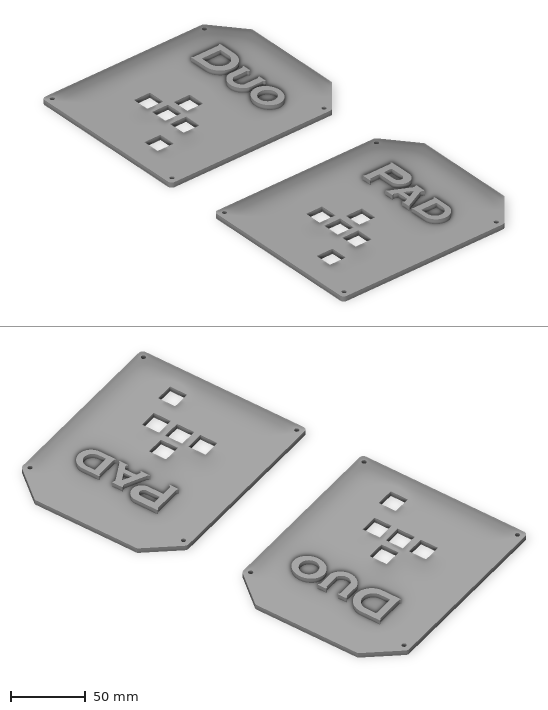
import cadquery as cq

overall_width = 315.0
plate_width = 135.0
plate_length = 161.5
plate_thickness = 4.0
plate_pitch = overall_width - plate_width

shoulder_width = 25.8
shoulder_length = 21.5
corner_radius = 3.0

screw_diameter = 3.5
screw_inset = 5.0
upper_screw_y = 137.3

key_size = 14.0
key_pitch = 19.0
middle_key_x = 67.0
key_row_y = 53.0
thumb_key_x = 92.0
thumb_key_y = 25.5

overall_height = 8.0
letter_height = overall_height - plate_thickness
capital_height = 25.2
small_capital_height = 20.2
serif = 1.0
stem_inner_x = 6.0
duo_baseline = 105.0
pad_baseline = 101.0


def raise_letter(outline, opening=None):
    """Extrude a closed letter outline, less its opening, up from Z = 0."""
    letter = outline.extrude(letter_height)
    if opening is not None:
        letter = letter.cut(opening.extrude(letter_height))
    return letter


def bowl_outline(left, right, bottom, top, bowl_start):
    """Straight on the left and an arc on the right."""
    return (
        cq.Workplane("XY")
        .moveTo(left, bottom)
        .lineTo(bowl_start, bottom)
        .threePointArc((right, (bottom + top) / 2), (bowl_start, top))
        .lineTo(left, top)
        .close()
    )


def letter_d(height, width, bar, bowl_stroke):
    """D with its lower left corner at the origin."""
    outer_start = width - height / 2
    opening_right = width - bowl_stroke
    outline = (
        cq.Workplane("XY")
        .lineTo(outer_start, 0)
        .threePointArc((width, height / 2), (outer_start, height))
        .lineTo(0, height)
        .lineTo(0, height - serif)
        .lineTo(serif, height - 2 * serif)
        .lineTo(serif, serif)
        .close()
    )
    opening_start = opening_right - (height / 2 - bar)
    opening = bowl_outline(stem_inner_x, opening_right, bar, height - bar, opening_start)
    return raise_letter(outline, opening)


def letter_p():
    """P with its lower left corner at the origin."""
    width = 25.8
    height = capital_height
    foot_width = 8.0
    bowl_bottom = 9.8
    bowl_middle = (height + bowl_bottom) / 2
    bowl_start = width - (height - bowl_bottom) / 2
    opening_right = 20.2
    opening_bottom = 13.5
    opening_top = 20.2
    outline = (
        cq.Workplane("XY")
        .lineTo(foot_width, 0)
        .lineTo(stem_inner_x, 2 * serif)
        .lineTo(stem_inner_x, bowl_bottom)
        .lineTo(bowl_start, bowl_bottom)
        .threePointArc((width, bowl_middle), (bowl_start, height))
        .lineTo(0, height)
        .lineTo(0, height - serif)
        .lineTo(serif, height - 2 * serif)
        .lineTo(serif, 2 * serif)
        .close()
    )
    opening_start = opening_right - (opening_top - opening_bottom) / 2
    opening = bowl_outline(stem_inner_x, opening_right, opening_bottom, opening_top, opening_start)
    return raise_letter(outline, opening)


def letter_u():
    """U centred on X = 0 with its serifs' tops at the small capital height."""
    top = small_capital_height
    half_width = 11.5
    outer_half = half_width - serif
    inner_half = 5.7
    inner_serif_half = inner_half - serif
    bowl_start = 6.3
    outer_bottom = -1.3
    inner_bottom = 2.8
    outline = (
        cq.Workplane("XY")
        .moveTo(-half_width, top)
        .lineTo(-half_width, top - serif)
        .lineTo(-outer_half, top - 2 * serif)
        .lineTo(-outer_half, bowl_start)
        .threePointArc((0, outer_bottom), (outer_half, bowl_start))
        .lineTo(outer_half, top - 2 * serif)
        .lineTo(half_width, top - serif)
        .lineTo(half_width, top)
        .lineTo(inner_serif_half, top)
        .lineTo(inner_serif_half, top - serif)
        .lineTo(inner_half, top - 2 * serif)
        .lineTo(inner_half, bowl_start)
        .threePointArc((0, inner_bottom), (-inner_half, bowl_start))
        .lineTo(-inner_half, top - 2 * serif)
        .lineTo(-inner_serif_half, top - serif)
        .lineTo(-inner_serif_half, top)
        .close()
    )
    return raise_letter(outline)


def letter_o():
    """O centred on X = 0, standing slightly below the baseline."""
    width = 24.5
    height = 21.5
    opening_diameter = 14.0
    middle_y = 9.5
    outline = cq.Workplane("XY").center(0, middle_y).ellipse(width / 2, height / 2)
    opening = cq.Workplane("XY").center(0, middle_y).circle(opening_diameter / 2)
    return raise_letter(outline, opening)


def letter_a():
    """A centred on X = 0, standing on the baseline."""
    right_side = [
        (4.5, small_capital_height),
        (3.5, 17.3),
        (11.3, 1.3),
        (13.0, 0),
        (5.0, 0),
        (6.0, 1.5),
        (4.7, 4.7),
    ]
    left_side = [(-x, y) for x, y in reversed(right_side)]
    opening_half_width = 3.5
    opening_bottom = 8.0
    opening_top = 14.5
    outline = cq.Workplane("XY").polyline(right_side + left_side).close()
    opening = (
        cq.Workplane("XY")
        .moveTo(-opening_half_width, opening_bottom)
        .lineTo(opening_half_width, opening_bottom)
        .lineTo(0, opening_top)
        .close()
    )
    return raise_letter(outline, opening)


def plate_blank():
    """Plate with sloped shoulders and rounded side corners, lower left at the origin."""
    shoulder_y = plate_length - shoulder_length
    blank = (
        cq.Workplane("XY")
        .lineTo(plate_width, 0)
        .lineTo(plate_width, shoulder_y)
        .lineTo(plate_width - shoulder_width, plate_length)
        .lineTo(shoulder_width, plate_length)
        .lineTo(0, shoulder_y)
        .close()
        .extrude(plate_thickness)
    )
    return blank.edges("|Z").edges("<X or >X").fillet(corner_radius)


def screw_holes():
    points = [
        (x, y)
        for x in (screw_inset, plate_width - screw_inset)
        for y in (screw_inset, upper_screw_y)
    ]
    return cq.Workplane("XY").pushPoints(points).circle(screw_diameter / 2).extrude(plate_thickness)


def key_openings():
    points = [(middle_key_x + step * key_pitch, key_row_y) for step in (-1, 0, 1)]
    points.append((middle_key_x, key_row_y + key_pitch))
    points.append((thumb_key_x, thumb_key_y))
    return cq.Workplane("XY").pushPoints(points).rect(key_size, key_size).extrude(plate_thickness)


def lettered_plate(letters, baseline):
    """Plate with raised letters, given as (letter, X place) pairs."""
    plate = plate_blank().cut(screw_holes()).cut(key_openings())
    for letter, letter_x in letters:
        plate = plate.union(letter.translate((letter_x, baseline, plate_thickness)))
    return plate


duo_letters = [
    (letter_d(capital_height, width=28.0, bar=4.5, bowl_stroke=5.7), 30.0),
    (letter_u(), 72.5),
    (letter_o(), 98.5),
]
pad_letters = [
    (letter_p(), 34.0),
    (letter_a(), 70.2),
    (letter_d(small_capital_height, width=23.5, bar=3.5, bowl_stroke=4.7), 85.0),
]

duo_plate = lettered_plate(duo_letters, duo_baseline)
pad_plate = lettered_plate(pad_letters, pad_baseline).translate((plate_pitch, 0, 0))

result = cq.Compound.makeCompound([duo_plate.solids().val(), pad_plate.solids().val()])